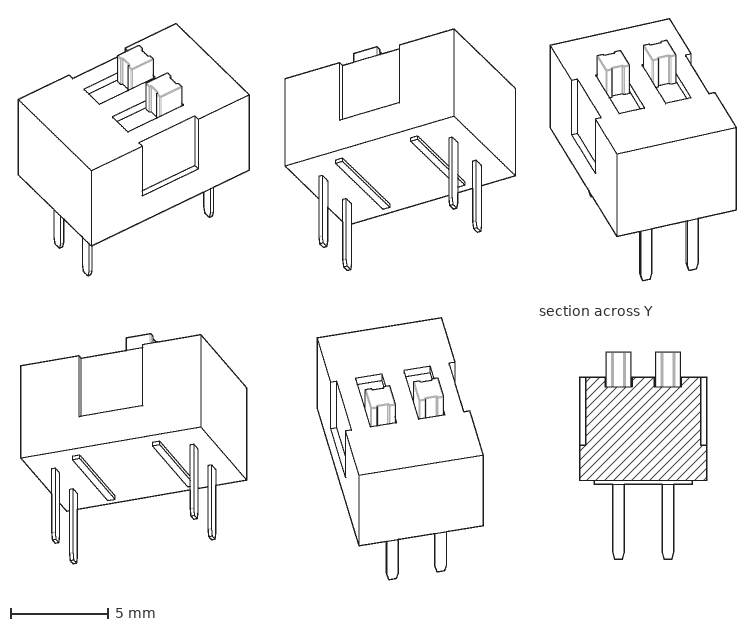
import cadquery as cq


BODY_X = 6.54
BODY_Y = 9.9
BODY_Z = 5.3
SWITCH_PITCH = 2.53
SWITCH_XS = (-SWITCH_PITCH / 2, SWITCH_PITCH / 2)

WINDOW_X = 1.38
WINDOW_Y = 3.5
WINDOW_DEPTH = 0.5
RECESS_DEPTH = 0.32
RECESS_Z = 3.49

LEVER_X = 1.3
LEVER_Y = 1.38
LEVER_RISE = 1.3
LEVER_END_GAP = 0.06
LEVER_ROUND = 0.04
GROOVE_X = 0.61
GROOVE_WALL_ROUND = 0.05

BAR_X = 5.04
BAR_Y = 0.4
BAR_Z = 0.2
BAR_SPACING = 4.4

PIN_WIDTH = 0.6
PIN_THICKNESS = 0.2
PIN_LENGTH = 4.05
PIN_ROW_SPACING = 7.61
PIN_TIP_WIDTH = 0.4
PIN_TIP_LENGTH = 0.37


def block(size_x, size_y, z_low, z_high, x=0, y=0):
    """Box centred on (x, y), between two heights."""
    box = cq.Workplane("XY").box(size_x, size_y, z_high - z_low, centered=(True, True, False))
    return box.translate((x, y, z_low))


def make_body():
    """Rectangular body with the lever windows and the side recesses cut out."""
    body = block(BODY_X, BODY_Y, 0, BODY_Z)
    for x in SWITCH_XS:
        body = body.cut(block(WINDOW_X, WINDOW_Y, BODY_Z - WINDOW_DEPTH, BODY_Z, x))
    for side in (-1, 1):
        x = side * (BODY_X - RECESS_DEPTH) / 2
        body = body.cut(block(RECESS_DEPTH, WINDOW_Y, BODY_Z - RECESS_Z, BODY_Z, x))
    return body


def make_lever(x):
    """Lever with a soft-edged grip groove in both Y faces, pushed to the +Y end of its window."""
    y = WINDOW_Y / 2 - LEVER_END_GAP - LEVER_Y / 2
    z_low = BODY_Z - WINDOW_DEPTH
    z_high = BODY_Z + LEVER_RISE
    lever = block(LEVER_X, LEVER_Y, z_low, z_high).edges("|Z").fillet(LEVER_ROUND)
    face_y = LEVER_Y / 2
    middle_y = face_y - GROOVE_WALL_ROUND
    floor_y = middle_y - GROOVE_WALL_ROUND
    wall_x = GROOVE_X / 2
    mouth_x = wall_x + GROOVE_WALL_ROUND
    floor_x = wall_x - GROOVE_WALL_ROUND
    groove = (
        cq.Workplane("XY")
        .workplane(offset=z_low)
        .moveTo(-mouth_x, face_y)
        .radiusArc((-wall_x, middle_y), GROOVE_WALL_ROUND)
        .radiusArc((-floor_x, floor_y), -GROOVE_WALL_ROUND)
        .lineTo(floor_x, floor_y)
        .radiusArc((wall_x, middle_y), -GROOVE_WALL_ROUND)
        .radiusArc((mouth_x, face_y), GROOVE_WALL_ROUND)
        .close()
        .extrude(z_high - z_low)
    )
    lever = lever.cut(groove).cut(groove.mirror("XZ"))
    return lever.faces(">Z").edges().fillet(LEVER_ROUND).translate((x, y, 0))


def make_pin(x, y):
    """Flat pin hanging from the body, narrowed at its tip."""
    shoulder_z = PIN_TIP_LENGTH - PIN_LENGTH
    pin = (
        cq.Workplane("XZ")
        .moveTo(-PIN_WIDTH / 2, 0)
        .lineTo(-PIN_WIDTH / 2, shoulder_z)
        .lineTo(-PIN_TIP_WIDTH / 2, -PIN_LENGTH)
        .lineTo(PIN_TIP_WIDTH / 2, -PIN_LENGTH)
        .lineTo(PIN_WIDTH / 2, shoulder_z)
        .lineTo(PIN_WIDTH / 2, 0)
        .close()
        .extrude(PIN_THICKNESS / 2, both=True)
    )
    return pin.translate((x, y, 0))


result = make_body()
for switch_x in SWITCH_XS:
    result = result.union(make_lever(switch_x))
for end in (-1, 1):
    result = result.union(block(BAR_X, BAR_Y, -BAR_Z, 0, y=end * BAR_SPACING / 2))
    for switch_x in SWITCH_XS:
        result = result.union(make_pin(switch_x, end * PIN_ROW_SPACING / 2))